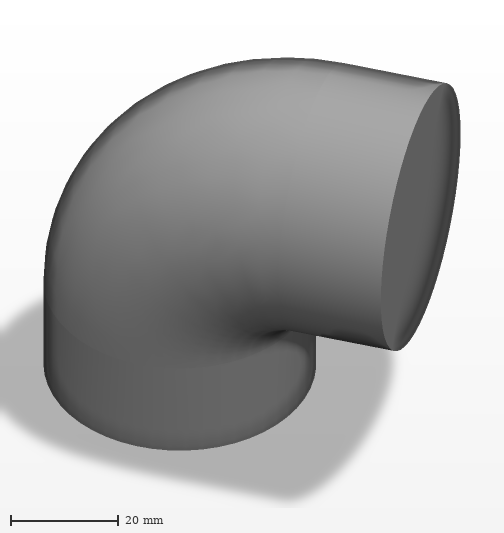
import cadquery as cq

overall_length = 72.5
pipe_diameter = 51.0
leg_length = 20.0

pipe_radius = pipe_diameter / 2
bend_radius = overall_length - leg_length - pipe_radius
bend_angle = 90.0


def lower_leg():
    """Vertical cylinder standing on Z = 0, with its axis on Z."""
    return cq.Workplane("XY").circle(pipe_radius).extrude(leg_length)


def bend():
    """Quarter torus turning the pipe from +Z to +X."""
    return (
        cq.Workplane("XY", origin=(0, 0, leg_length))
        .circle(pipe_radius)
        .revolve(bend_angle, (bend_radius, 0, 0), (bend_radius, 1, 0))
    )


def upper_leg():
    """Horizontal cylinder running along +X from the end of the bend."""
    axis_height = leg_length + bend_radius
    return (
        cq.Workplane("YZ", origin=(bend_radius, 0, axis_height))
        .circle(pipe_radius)
        .extrude(leg_length)
    )


result = lower_leg().union(bend()).union(upper_leg())